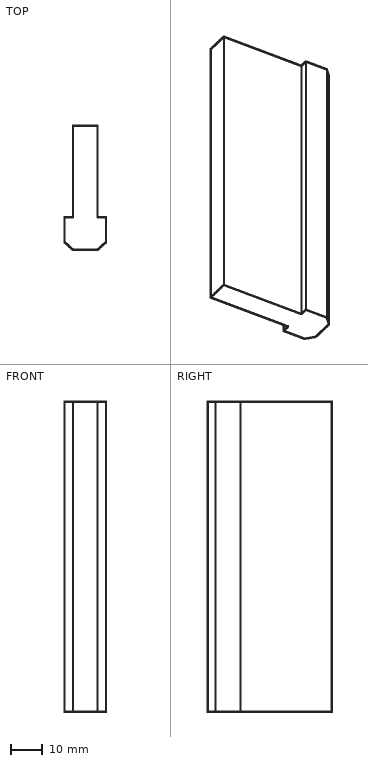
import cadquery as cq

head_width = 13.5
total_depth = 40.0
height = 100.0

web_width = 8.0
head_depth = 10.5
front_width = web_width
chamfer_depth = 2.5

front_y = -total_depth / 2
back_y = total_depth / 2
shoulder_y = front_y + head_depth
chamfer_end_y = front_y + chamfer_depth
bottom_z = -height / 2


def half_section():
    """Half of the T-shaped section on the +X side, open along the centre line."""
    return (
        cq.Workplane("XY", origin=(0, 0, bottom_z))
        .moveTo(0, front_y)
        .lineTo(front_width / 2, front_y)
        .lineTo(head_width / 2, chamfer_end_y)
        .lineTo(head_width / 2, shoulder_y)
        .lineTo(web_width / 2, shoulder_y)
        .lineTo(web_width / 2, back_y)
        .lineTo(0, back_y)
    )


result = half_section().mirrorY().extrude(height).clean()